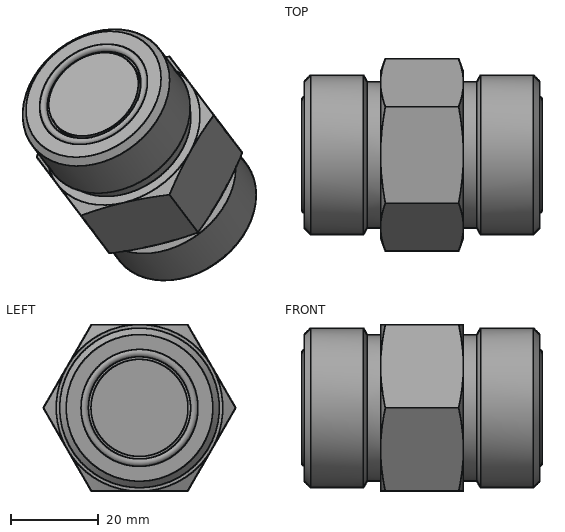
import cadquery as cq
import math

overall_length = 54.95
ring_protrusion = 0.55
housing_length = overall_length - 2 * ring_protrusion
half_length = housing_length / 2

hex_across_flats = 38.1
hex_across_corners = hex_across_flats / math.cos(math.pi / 6)
hex_length = 18.9
hex_chamfer_angle = 20.0

collar_diameter = 36.5
collar_length = 14.4
neck_diameter = 33.5
collar_step = (collar_diameter - neck_diameter) / 2
outer_chamfer = collar_step
inner_chamfer_angle = 30.0
inner_chamfer = collar_step * math.tan(math.radians(inner_chamfer_angle))

groove_outer_diameter = 26.75
groove_inner_diameter = 22.2
ring_section_diameter = 1.7
groove_depth = ring_section_diameter - ring_protrusion


def make_hexagon():
    """Hexagon along X with flats facing +Z and -Z and turned corners at both ends."""
    prism = (
        cq.Workplane("YZ")
        .polygon(6, hex_across_corners)
        .extrude(hex_length / 2, both=True)
    )
    half_hex = hex_length / 2
    flat_radius = hex_across_flats / 2
    corner_radius = hex_across_corners / 2
    chamfer_length = (corner_radius - flat_radius) * math.tan(math.radians(hex_chamfer_angle))
    turned_envelope = (
        cq.Workplane("XY")
        .polyline([
            (-half_hex, 0),
            (-half_hex, flat_radius),
            (-half_hex + chamfer_length, corner_radius),
            (half_hex - chamfer_length, corner_radius),
            (half_hex, flat_radius),
            (half_hex, 0),
        ])
        .close()
        .revolve(360, (0, 0, 0), (1, 0, 0))
    )
    return prism.intersect(turned_envelope)


def make_threaded_ends():
    """Turned shaft through the hexagon: neck, collar and both collar chamfers on each side."""
    collar_radius = collar_diameter / 2
    neck_radius = neck_diameter / 2
    shoulder = half_length - collar_length
    right_profile = [
        (shoulder, neck_radius),
        (shoulder + inner_chamfer, collar_radius),
        (half_length - outer_chamfer, collar_radius),
        (half_length, collar_radius - outer_chamfer),
        (half_length, 0),
    ]
    left_profile = [(-x, radius) for x, radius in reversed(right_profile)]
    return (
        cq.Workplane("XY")
        .polyline(left_profile + right_profile)
        .close()
        .revolve(360, (0, 0, 0), (1, 0, 0))
    )


def make_face_groove(side):
    """Annular seal groove cut into the end face on the given side (-1 or +1)."""
    return (
        cq.Workplane("YZ", origin=(side * half_length, 0, 0))
        .circle(groove_outer_diameter / 2)
        .circle(groove_inner_diameter / 2)
        .extrude(-side * groove_depth)
    )


def make_housing():
    housing = make_hexagon().union(make_threaded_ends())
    for side in (-1, 1):
        housing = housing.cut(make_face_groove(side))
    return housing


def make_seal_ring(side):
    """Round-section ring resting on the groove floor and against its outer wall."""
    section_radius = ring_section_diameter / 2
    ring_radius = groove_outer_diameter / 2 - section_radius
    ring_center = side * (overall_length / 2 - section_radius)
    return (
        cq.Workplane("XY")
        .center(ring_center, ring_radius)
        .circle(section_radius)
        .revolve(360, (0, -ring_radius, 0), (1, -ring_radius, 0))
    )


housing = make_housing().solids()
seal_rings = [make_seal_ring(side) for side in (-1, 1)]

result = cq.Compound.makeCompound([housing.val(), *[ring.val() for ring in seal_rings]])